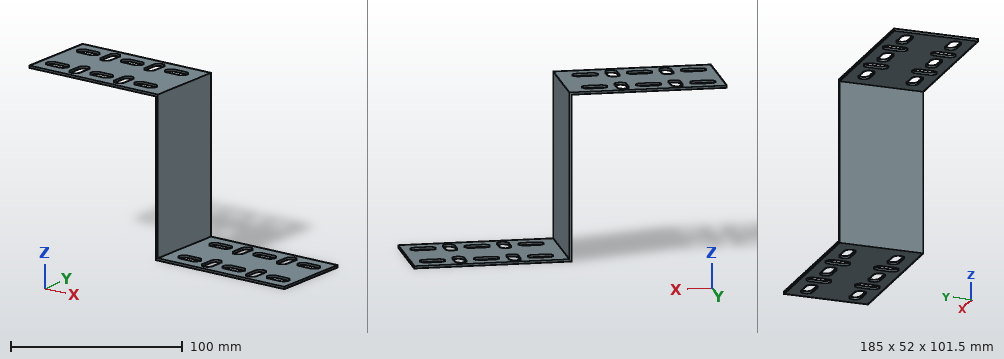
import cadquery as cq

total_length = 185.0
width = 52.0
total_height = 101.5
thickness = 1.5

slot_length = 15.0
slot_width = 7.0
slot_pitch = 16.0
slots_per_row = 5
row_spacing = 30.0
first_slot_from_left_end = 12.25
flange_pattern_offset = (slots_per_row + 1) * slot_pitch

half_length = total_length / 2
half_height = total_height / 2
half_thickness = thickness / 2
half_width = width / 2
first_slot_x = first_slot_from_left_end - half_length
upper_flange_z = half_height - half_thickness
lower_flange_z = -upper_flange_z


def make_bent_strip():
    """Z profile in the XZ plane, extruded across the width."""
    profile = [
        (-half_length, half_height),
        (half_thickness, half_height),
        (half_thickness, -half_height + thickness),
        (half_length, -half_height + thickness),
        (half_length, -half_height),
        (-half_thickness, -half_height),
        (-half_thickness, half_height - thickness),
        (-half_length, half_height - thickness),
    ]
    return cq.Workplane("XZ").polyline(profile).close().extrude(half_width, both=True)


def make_slot(x, y, z, angle):
    """Round-ended cutter through one flange, centred on the flange thickness."""
    return (
        cq.Workplane("XY", origin=(x, y, z))
        .slot2D(slot_length, slot_width, angle)
        .extrude(thickness, both=True)
    )


def cut_flange_slots(body, start_x, flange_z):
    """Cut both rows; slots lie along X and along Y in turn."""
    for row_y in (-row_spacing / 2, row_spacing / 2):
        for index in range(slots_per_row):
            angle = 90 if index % 2 else 0
            slot_x = start_x + index * slot_pitch
            body = body.cut(make_slot(slot_x, row_y, flange_z, angle))
    return body


result = make_bent_strip()
result = cut_flange_slots(result, first_slot_x, upper_flange_z)
result = cut_flange_slots(result, first_slot_x + flange_pattern_offset, lower_flange_z)